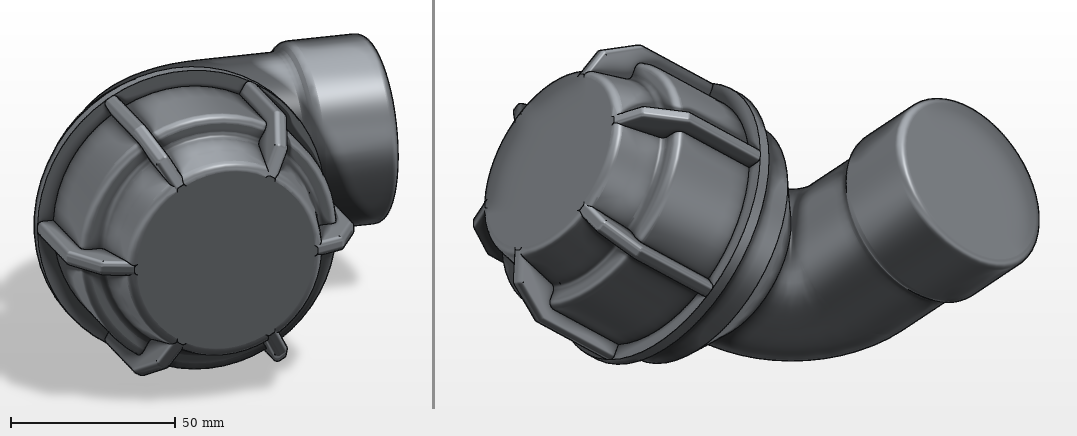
import cadquery as cq


PIPE_RADIUS = 52.47 / 2
BEND_RADIUS = 26.5

SOCKET_RADIUS = 58.3 / 2
SOCKET_END_Y = 79.0
SOCKET_SHOULDER_Y = 54.0
SOCKET_RIM_FILLET = 2.5
SHOULDER_FILLET = 3.0

BODY_RADIUS = 40.0
BODY_START_X = 40.3
BODY_END_X = 50.7

COLLAR_RADIUS = 42.0
FLANGE_RADIUS = 46.0
FLANGE_START_X = 53.4
FLANGE_END_X = 57.0

NUT_RADIUS = 41.0
NUT_SHOULDER_X = 86.0
NUT_END_X = 102.0
NUT_SHOULDER_FILLET = 2.5
NECK_START_RADIUS = 34.5
NECK_END_RADIUS = 30.7
NECK_ROOT_FILLET = 2.0
NECK_END_FILLET = 2.8

RIB_COUNT = 6
RIB_WIDTH = 4.5
RIB_EDGE_FILLET = 1.5
RIB_KNEE_FILLET = 1.6
RIB_KNEE_X = 98.5
RIB_KNEE_RADIUS = 38.7
RIB_END_RADIUS = 29.3
RIB_ROOT_RADIUS = 25.0

PICK_MARGIN = 1.0


def make_bend():
    """Quarter torus from the +Y pipe round to the start of the conical body."""
    return (
        cq.Workplane("XZ", origin=(0, BEND_RADIUS, 0))
        .circle(PIPE_RADIUS)
        .revolve(90, (BEND_RADIUS, 0, 0), (BEND_RADIUS, 1, 0))
    )


def make_socket():
    """Straight pipe and socket, turned about the Y axis."""
    pipe_shoulder_y = SOCKET_SHOULDER_Y - (SOCKET_RADIUS - PIPE_RADIUS)
    socket = (
        cq.Workplane("XY")
        .moveTo(0, BEND_RADIUS)
        .lineTo(PIPE_RADIUS, BEND_RADIUS)
        .lineTo(PIPE_RADIUS, pipe_shoulder_y)
        .lineTo(SOCKET_RADIUS, SOCKET_SHOULDER_Y)
        .lineTo(SOCKET_RADIUS, SOCKET_END_Y)
        .lineTo(0, SOCKET_END_Y)
        .close()
        .revolve(360, (0, 0, 0), (0, 1, 0))
    )
    shoulder = cq.selectors.BoxSelector(
        (-SOCKET_RADIUS, pipe_shoulder_y - PICK_MARGIN, -SOCKET_RADIUS),
        (SOCKET_RADIUS, SOCKET_SHOULDER_Y + PICK_MARGIN, SOCKET_RADIUS),
    )
    socket = socket.edges(shoulder).edges("%CIRCLE").fillet(SHOULDER_FILLET)
    return socket.faces(">Y").edges().fillet(SOCKET_RIM_FILLET)


def make_body():
    """Conical body, collar and flange, turned about the X axis."""
    return (
        cq.Workplane("XY")
        .moveTo(BEND_RADIUS, 0)
        .lineTo(BEND_RADIUS, PIPE_RADIUS)
        .lineTo(BODY_START_X, BODY_RADIUS)
        .lineTo(BODY_END_X, BODY_RADIUS)
        .lineTo(FLANGE_START_X, COLLAR_RADIUS)
        .lineTo(FLANGE_START_X, FLANGE_RADIUS)
        .lineTo(FLANGE_END_X, FLANGE_RADIUS)
        .lineTo(FLANGE_END_X, 0)
        .close()
        .revolve(360, (0, 0, 0), (1, 0, 0))
    )


def make_nut():
    """Stepped nut with a tapered neck, turned about the X axis."""
    nut = (
        cq.Workplane("XY")
        .moveTo(FLANGE_END_X, 0)
        .lineTo(FLANGE_END_X, NUT_RADIUS)
        .lineTo(NUT_SHOULDER_X, NUT_RADIUS)
        .lineTo(NUT_SHOULDER_X, NECK_START_RADIUS)
        .lineTo(NUT_END_X, NECK_END_RADIUS)
        .lineTo(NUT_END_X, 0)
        .close()
        .revolve(360, (0, 0, 0), (1, 0, 0))
    )
    nut = nut.faces(">X").edges().fillet(NECK_END_FILLET)
    root_edge = nut.faces("|X").faces(">X[-2]").edges(cq.selectors.RadiusNthSelector(0))
    nut = root_edge.fillet(NECK_ROOT_FILLET)
    shoulder_edge = nut.faces("|X").faces(">X[-2]").edges(cq.selectors.RadiusNthSelector(-1))
    return shoulder_edge.fillet(NUT_SHOULDER_FILLET)


def make_rib():
    """One grip rib on the +Y side of the nut, with its outer edges rounded."""
    rib = (
        cq.Workplane("XY")
        .moveTo(FLANGE_END_X, RIB_ROOT_RADIUS)
        .lineTo(FLANGE_END_X, FLANGE_RADIUS)
        .lineTo(NUT_SHOULDER_X, FLANGE_RADIUS)
        .lineTo(RIB_KNEE_X, RIB_KNEE_RADIUS)
        .lineTo(NUT_END_X, RIB_END_RADIUS)
        .lineTo(NUT_END_X, RIB_ROOT_RADIUS)
        .close()
        .extrude(RIB_WIDTH / 2, both=True)
    )
    knees = cq.selectors.BoxSelector(
        (NUT_SHOULDER_X - PICK_MARGIN, RIB_KNEE_RADIUS - PICK_MARGIN, -RIB_WIDTH),
        (RIB_KNEE_X + PICK_MARGIN, FLANGE_RADIUS + PICK_MARGIN, RIB_WIDTH),
    )
    rib = rib.edges("|Z").edges(knees).fillet(RIB_KNEE_FILLET)
    outer = cq.selectors.BoxSelector(
        (FLANGE_END_X, RIB_END_RADIUS, -RIB_WIDTH),
        (NUT_END_X, FLANGE_RADIUS + PICK_MARGIN, RIB_WIDTH),
    )
    return rib.faces("|Z").edges(outer).edges("not |Y").fillet(RIB_EDGE_FILLET)


result = make_bend().union(make_socket()).union(make_body()).union(make_nut())
rib = make_rib()
for i in range(RIB_COUNT):
    result = result.union(rib.rotate((0, 0, 0), (1, 0, 0), i * 360 / RIB_COUNT))